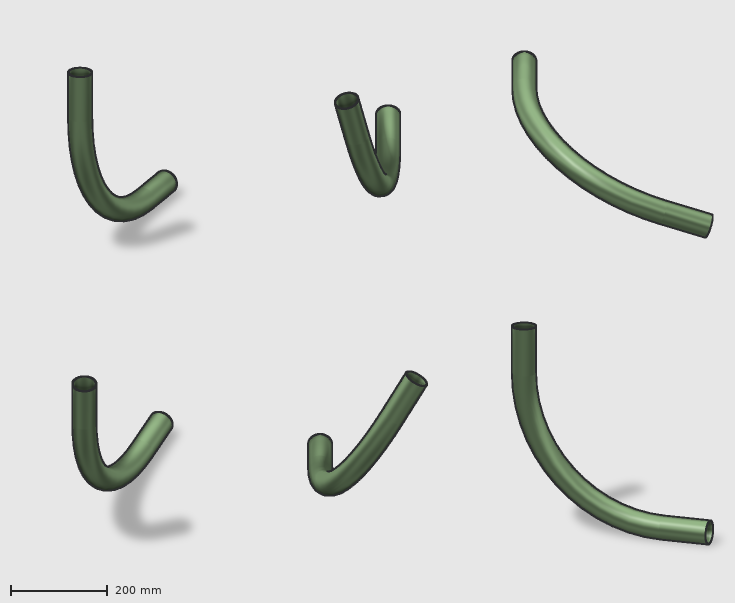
import cadquery as cq

overall_size = 432.0
outer_diameter = 51.0
inner_diameter = 46.5
straight_length = 101.5

bend_radius = overall_size - straight_length - outer_diameter / 2
bend_angle = 90


def straight_tube(plane):
    """Tube of straight_length extruded along the plane normal."""
    return (
        cq.Workplane(plane)
        .circle(outer_diameter / 2)
        .circle(inner_diameter / 2)
        .extrude(straight_length)
    )


def bent_tube():
    """Quarter bend from the vertical end at the origin down to the horizontal end."""
    return (
        cq.Workplane("XY")
        .circle(outer_diameter / 2)
        .circle(inner_diameter / 2)
        .revolve(bend_angle, (0, bend_radius, 0), (1, bend_radius, 0))
    )


vertical_end = straight_tube(cq.Plane(origin=(0, 0, 0), xDir=(1, 0, 0), normal=(0, 0, 1)))
horizontal_end = straight_tube(
    cq.Plane(origin=(0, bend_radius, -bend_radius), xDir=(1, 0, 0), normal=(0, 1, 0))
)

result = vertical_end.union(bent_tube()).union(horizontal_end)